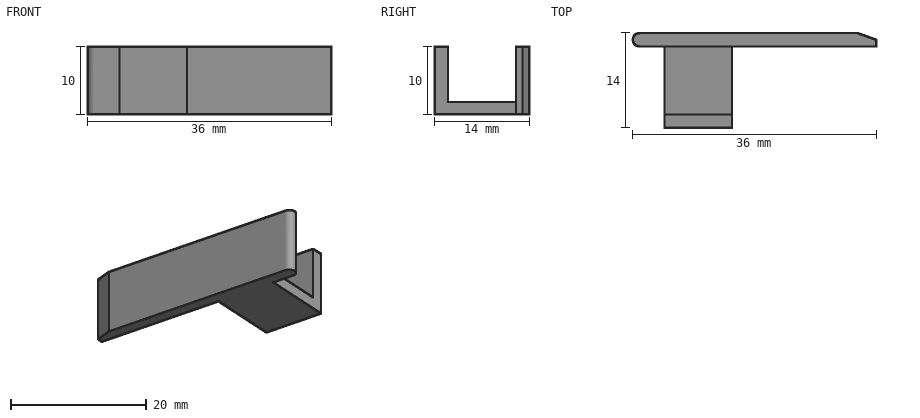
import cadquery as cq

length = 36.0
depth = 14.0
height = 10.0
gap = 10.0
floor_thickness = 1.85
hook_width = 10.0
hook_offset = 4.68
bevel_length = 2.77

wall = (depth - gap) / 2
end_radius = wall / 2
tip_thickness = wall / 2
hook_reach = depth - wall


def make_blade():
    """Upright strip with one rounded end and one bevelled tip."""
    return (
        cq.Workplane("XY")
        .moveTo(end_radius, 0)
        .lineTo(length, 0)
        .lineTo(length, tip_thickness)
        .lineTo(length - bevel_length, wall)
        .lineTo(end_radius, wall)
        .threePointArc((0, end_radius), (end_radius, 0))
        .close()
        .extrude(height)
    )


def make_hook():
    """L-shaped hook: a floor joining the blade to an upright lip."""
    floor = (
        cq.Workplane("XY")
        .box(hook_width, hook_reach, floor_thickness, centered=False)
        .translate((hook_offset, -hook_reach, 0))
    )
    lip = (
        cq.Workplane("XY")
        .box(hook_width, wall, height, centered=False)
        .translate((hook_offset, -hook_reach, 0))
    )
    return floor.union(lip)


result = make_blade().union(make_hook())